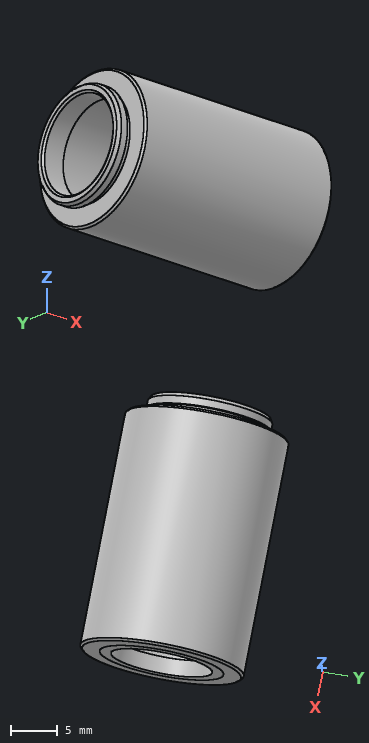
import cadquery as cq

TUBE_LENGTH = 28.2
BARREL_DIAMETER = 17.8
BARREL_RADIUS = BARREL_DIAMETER / 2
BARREL_CHAMFER = 0.25

NECK_LENGTH = 2.03
COLLAR_LENGTH = 1.3
COLLAR_RADIUS = 6.8
COLLAR_CHAMFER_LENGTH = 0.45
COLLAR_CHAMFER_DEPTH = 0.25
RELIEF_RADIUS = 6.35

LIP_BORE_RADIUS = 5.7
LIP_LENGTH = 2.85
LIP_CHAMFER = 0.25
MAIN_BORE_RADIUS = 6.75

RING_BORE_RADIUS = 5.5
RING_LENGTH = 1.8

NOSE_X = -TUBE_LENGTH / 2
OPEN_X = TUBE_LENGTH / 2
SHOULDER_X = NOSE_X + NECK_LENGTH
COLLAR_END_X = NOSE_X + COLLAR_LENGTH
LIP_END_X = NOSE_X + LIP_LENGTH


def revolve_profile(points):
    """Revolve a closed (x, radius) outline about the X axis."""
    return cq.Workplane("XY").polyline(points).close().revolve(360, (0, 0, 0), (1, 0, 0))


def make_tube():
    """Hollow barrel with a chamfered nose collar, relief groove and stepped bore."""
    nose_outline = [
        (NOSE_X, COLLAR_RADIUS - COLLAR_CHAMFER_DEPTH),
        (NOSE_X + COLLAR_CHAMFER_LENGTH, COLLAR_RADIUS),
        (COLLAR_END_X, COLLAR_RADIUS),
        (COLLAR_END_X, RELIEF_RADIUS),
        (SHOULDER_X, RELIEF_RADIUS),
    ]
    barrel_outline = [
        (SHOULDER_X, BARREL_RADIUS - BARREL_CHAMFER),
        (SHOULDER_X + BARREL_CHAMFER, BARREL_RADIUS),
        (OPEN_X - BARREL_CHAMFER, BARREL_RADIUS),
        (OPEN_X, BARREL_RADIUS - BARREL_CHAMFER),
    ]
    bore_outline = [
        (OPEN_X, MAIN_BORE_RADIUS),
        (LIP_END_X, MAIN_BORE_RADIUS),
        (LIP_END_X, LIP_BORE_RADIUS),
        (NOSE_X + LIP_CHAMFER, LIP_BORE_RADIUS),
        (NOSE_X, LIP_BORE_RADIUS + LIP_CHAMFER),
    ]
    return revolve_profile(nose_outline + barrel_outline + bore_outline)


def make_retaining_ring():
    """Plain ring that fills the wide bore at the open end."""
    return (
        cq.Workplane("YZ", origin=(OPEN_X - RING_LENGTH, 0, 0))
        .circle(MAIN_BORE_RADIUS)
        .circle(RING_BORE_RADIUS)
        .extrude(RING_LENGTH)
    )


tube = make_tube()
retaining_ring = make_retaining_ring()

result = cq.Compound.makeCompound([tube.val(), retaining_ring.val()])